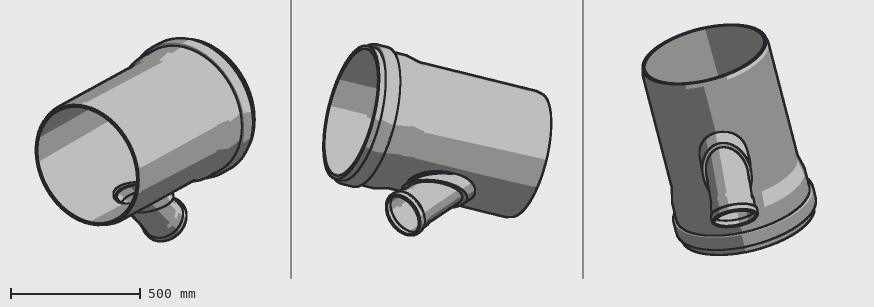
import cadquery as cq
import math

main_length = 736.0
main_outer_radius = 502.0 / 2
main_bore_radius = 474.0 / 2
main_socket_outer_radius = 529.0 / 2
main_socket_bore_radius = 502.0 / 2
main_bead_radius = 555.0 / 2
main_bead_start = 27.0
main_bead_end = 84.5
main_cone_start = 159.0
main_cone_end = 219.5
main_bead_fillet = 4.5
spigot_chamfer_length = 19.5
spigot_chamfer_depth = 5.0

branch_angle = 45
branch_axis_y = 101.0
branch_length = 590.0
branch_outer_radius = 160.0 / 2
branch_bore_radius = 152.5 / 2
branch_socket_outer_radius = 168.0 / 2
branch_socket_bore_radius = 161.5 / 2
branch_opening_radius = 161.5 / 2
branch_bead_radius = 181.0 / 2
branch_bead_start = 6.0
branch_bead_end = 27.0
branch_cone_start = 66.5
branch_cone_end = 81.5
branch_bead_fillet = 2.0

saddle_radius = 186.0 / 2
saddle_bottom_z = -283.0

lip_bottom_z = -261.0
lip_tilt = 2.3
lip_pivot_y = 234.0


def revolve_profile(points):
    """Revolve (radius, height) points around Z."""
    return cq.Workplane("XZ").polyline(points).close().revolve(360, (0, 0, 0), (0, 1, 0))


def cylinder(radius, length):
    """Cylinder standing on the origin along Z."""
    return cq.Workplane("XY").circle(radius).extrude(length)


def bead(outer_radius, inner_radius, start, end, fillet):
    """Ring with rounded outer edges, between two distances from a mouth at Z = 0."""
    blank = cylinder(outer_radius, end - start).edges().fillet(fillet)
    return blank.cut(cylinder(inner_radius, end - start)).translate((0, 0, -end))


def socket_core(bore_radius, socket_bore_radius, cone_start, cone_end, length):
    """Inner space of a pipe whose socket mouth is at Z = 0."""
    return revolve_profile([
        (0, 0),
        (socket_bore_radius, 0),
        (socket_bore_radius, -cone_start),
        (bore_radius, -cone_end),
        (bore_radius, -length),
        (0, -length),
    ])


def along_main(shape):
    """Place a shape with its mouth at Z = 0 at the main socket mouth."""
    return shape.rotate((0, 0, 0), (1, 0, 0), -90).translate((0, main_length, 0))


def along_branch(shape):
    """Place a shape with its mouth at Z = 0 at the branch mouth."""
    return (
        shape.translate((0, 0, branch_length))
        .rotate((0, 0, 0), (1, 0, 0), -90 - branch_angle)
        .translate((0, branch_axis_y, 0))
    )


def branch_rod(radius):
    """Solid rod along the branch axis, from the main axis to the branch mouth."""
    return along_branch(cylinder(radius, branch_length).translate((0, 0, -branch_length)))


def main_rod(radius):
    """Solid rod along the main axis, as long as the main pipe."""
    return along_main(cylinder(radius, main_length).translate((0, 0, -main_length)))


def make_main_pipe():
    outside = revolve_profile([
        (0, 0),
        (main_socket_outer_radius, 0),
        (main_socket_outer_radius, -main_cone_start),
        (main_outer_radius, -main_cone_end),
        (main_outer_radius, spigot_chamfer_length - main_length),
        (main_outer_radius - spigot_chamfer_depth, -main_length),
        (0, -main_length),
    ])
    core = socket_core(
        main_bore_radius, main_socket_bore_radius, main_cone_start, main_cone_end, main_length
    )
    ring = bead(
        main_bead_radius, main_socket_bore_radius, main_bead_start, main_bead_end, main_bead_fillet
    )
    opening = branch_rod(branch_opening_radius)
    return along_main(outside.cut(core).union(ring)).cut(opening)


def make_saddle():
    """Collar around the branch, from the main pipe down to its flat underside."""
    collar = branch_rod(saddle_radius)
    above_underside = (
        cq.Workplane("XY", origin=(0, main_length / 2, saddle_bottom_z))
        .rect(main_length, main_length)
        .extrude(-saddle_bottom_z)
    )
    return collar.intersect(above_underside)


def make_saddle_lip():
    """Upright wall on the collar's outline, ending below on a slightly tilted cylinder."""
    center_y = branch_axis_y - lip_bottom_z / math.tan(math.radians(branch_angle))
    half_length = saddle_radius / math.sin(math.radians(branch_angle))
    prism = (
        cq.Workplane("XY", origin=(0, center_y, lip_bottom_z))
        .ellipse(saddle_radius, half_length)
        .extrude(-lip_bottom_z)
    )
    pivot = (0, lip_pivot_y, -main_outer_radius)
    pivot_end = (1, lip_pivot_y, -main_outer_radius)
    return prism.intersect(main_rod(main_outer_radius).rotate(pivot, pivot_end, -lip_tilt))


def make_branch():
    outside = revolve_profile([
        (0, 0),
        (branch_socket_outer_radius, 0),
        (branch_socket_outer_radius, -branch_cone_start),
        (branch_outer_radius, -branch_cone_end),
        (branch_outer_radius, -branch_length),
        (0, -branch_length),
    ])
    core = socket_core(
        branch_bore_radius, branch_socket_bore_radius, branch_cone_start, branch_cone_end, branch_length
    )
    ring = bead(
        branch_bead_radius, branch_socket_bore_radius,
        branch_bead_start, branch_bead_end, branch_bead_fillet,
    )
    collar = make_saddle().union(make_saddle_lip())
    solid_branch = along_branch(outside.union(ring)).union(collar)
    return solid_branch.cut(along_branch(core)).cut(main_rod(main_outer_radius))


main_pipe = make_main_pipe()
branch = make_branch()

result = cq.Compound.makeCompound([main_pipe.solids().val(), branch.solids().val()])